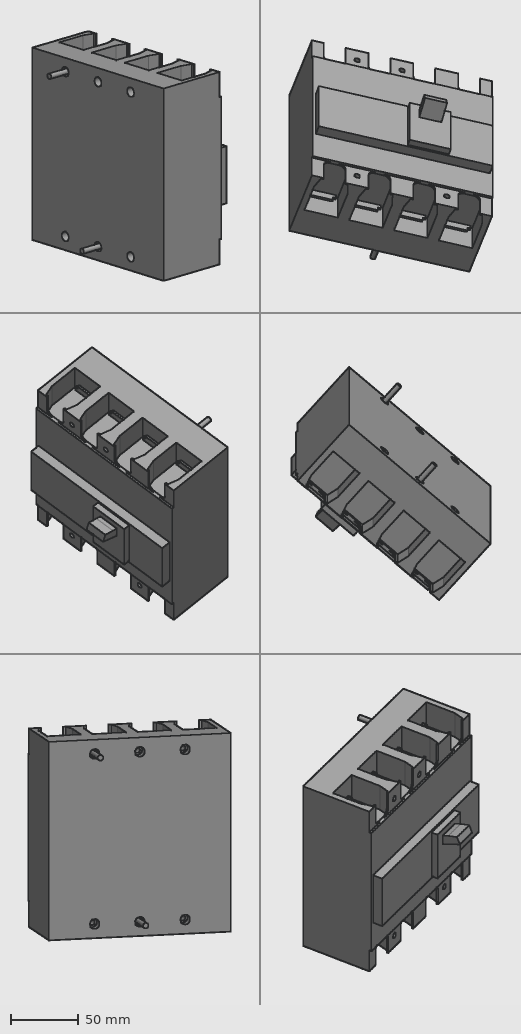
import cadquery as cq

CASE_WIDTH = 140.0
CASE_HEIGHT = 150.0
CASE_DEPTH = 58.0

PLATE_HEIGHT = 111.0
PLATE_THICKNESS = 1.8
COVER_WIDTH = 135.0
COVER_HEIGHT = 44.5
COVER_THICKNESS = 8.0
BEZEL_WIDTH = 32.0
BEZEL_HEIGHT = 41.1
BEZEL_THICKNESS = 5.2
COVER_CENTER_Z = -7.8

TOGGLE_WIDTH = 17.1
TOGGLE_REACH = 14.8
TOGGLE_TOP_CORNER_REACH = 12.5
TOGGLE_BEND_REACH = 4.4
TOGGLE_BEND_Z = 8.7
TOGGLE_ROOT_LOW_Z = -0.9
TOGGLE_ROOT_HIGH_Z = 7.2
TOGGLE_TIP_LOW_Z = 4.8
TOGGLE_TIP_HIGH_Z = 10.8

POLE_COUNT = 4
POLE_PITCH = 34.8
POCKET_DEPTH = 22.4
POCKET_WIDTH = 26.0
POCKET_MOUTH_WIDTH = 20.8
POCKET_BACK_Y = 23.2
POCKET_TAPER_Y = 47.8
POCKET_SKIN = 1.4

SLOT_WIDTH = 17.1
SLOT_CORNER_RADIUS = 5.1
SLOT_DEPTH = (CASE_HEIGHT - PLATE_HEIGHT) / 2

TERMINAL_WIDTH = 22.2
TERMINAL_THICKNESS = 1.8
TERMINAL_HEIGHT = 3.0
TERMINAL_RISER_WIDTH = 17.7
TERMINAL_RISER_HEIGHT = 3.0
TERMINAL_RISER_RADIUS = 0.9

HOLE_DIAMETER = 4.2
COUNTERBORE_DIAMETER = 7.4
COUNTERBORE_DEPTH = 7.5
HOLE_EDGE_DISTANCE = 10.8
HOLE_Z = CASE_HEIGHT / 2 - HOLE_EDGE_DISTANCE
PIN_PROTRUSION = 16.5

POLE_XS = [(i - (POLE_COUNT - 1) / 2) * POLE_PITCH for i in range(POLE_COUNT)]
TOGGLE_X = POLE_XS[1]
HOLE_XS = [-POLE_PITCH, 0, POLE_PITCH]
PIN_POINTS = [(-POLE_PITCH, HOLE_Z), (0, -HOLE_Z)]


def slab(width, thickness, height, x, y, z):
    """Box centred on x and z whose back face lies at y."""
    return cq.Workplane("XY").box(width, thickness, height, centered=(True, False, True)).translate((x, y, z))


def rod(diameter, start_y, end_y, x, z):
    """Cylinder along Y between start_y and end_y."""
    return cq.Workplane("XZ", origin=(x, start_y, z)).circle(diameter / 2).extrude(start_y - end_y)


def toggle(root_y):
    profile = [
        (root_y, TOGGLE_ROOT_LOW_Z),
        (root_y + TOGGLE_REACH, TOGGLE_TIP_LOW_Z),
        (root_y + TOGGLE_TOP_CORNER_REACH, TOGGLE_TIP_HIGH_Z),
        (root_y + TOGGLE_BEND_REACH, TOGGLE_BEND_Z),
        (root_y, TOGGLE_ROOT_HIGH_Z),
    ]
    lever = cq.Workplane("YZ").polyline(profile).close().extrude(TOGGLE_WIDTH / 2, both=True)
    return lever.translate((TOGGLE_X, 0, 0))


def terminal_pocket():
    """Material removed for one pocket at the +Z end, centred on X = 0."""
    front_y = CASE_DEPTH - POCKET_SKIN
    outline = [
        (-POCKET_WIDTH / 2, POCKET_BACK_Y),
        (POCKET_WIDTH / 2, POCKET_BACK_Y),
        (POCKET_WIDTH / 2, POCKET_TAPER_Y),
        (POCKET_MOUTH_WIDTH / 2, front_y),
        (-POCKET_MOUTH_WIDTH / 2, front_y),
        (-POCKET_WIDTH / 2, POCKET_TAPER_Y),
    ]
    floor_z = CASE_HEIGHT / 2 - POCKET_DEPTH
    cavity = cq.Workplane("XY", origin=(0, 0, floor_z)).polyline(outline).close().extrude(POCKET_DEPTH)

    slot_z = CASE_HEIGHT / 2 - SLOT_DEPTH / 2
    slot = slab(SLOT_WIDTH, POCKET_SKIN, SLOT_DEPTH, 0, front_y, slot_z)
    slot = slot.edges("|Y and <Z").fillet(SLOT_CORNER_RADIUS)

    block_z = floor_z + TERMINAL_HEIGHT / 2
    block = slab(TERMINAL_WIDTH, TERMINAL_THICKNESS, TERMINAL_HEIGHT, 0, POCKET_BACK_Y, block_z)
    riser_z = floor_z + TERMINAL_HEIGHT + TERMINAL_RISER_HEIGHT / 2
    riser = slab(TERMINAL_RISER_WIDTH, TERMINAL_THICKNESS, TERMINAL_RISER_HEIGHT, 0, POCKET_BACK_Y, riser_z)
    riser = riser.edges("|Y and >Z").fillet(TERMINAL_RISER_RADIUS)
    return cavity.cut(block).cut(riser).union(slot)


plate_y = CASE_DEPTH
cover_y = plate_y + PLATE_THICKNESS
bezel_y = cover_y + COVER_THICKNESS
toggle_y = bezel_y + BEZEL_THICKNESS

case = slab(CASE_WIDTH, CASE_DEPTH, CASE_HEIGHT, 0, 0, 0)
case = case.union(slab(CASE_WIDTH, PLATE_THICKNESS, PLATE_HEIGHT, 0, plate_y, 0))
case = case.union(slab(COVER_WIDTH, COVER_THICKNESS, COVER_HEIGHT, 0, cover_y, COVER_CENTER_Z))
case = case.union(slab(BEZEL_WIDTH, BEZEL_THICKNESS, BEZEL_HEIGHT, TOGGLE_X, bezel_y, COVER_CENTER_Z))
case = case.union(toggle(toggle_y))

pocket = terminal_pocket()
for end_pocket in (pocket, pocket.mirror("XY")):
    for x in POLE_XS:
        case = case.cut(end_pocket.translate((x, 0, 0)))

for x in HOLE_XS:
    for z in (HOLE_Z, -HOLE_Z):
        case = case.cut(rod(COUNTERBORE_DIAMETER, 0, COUNTERBORE_DEPTH, x, z))
        if (x, z) in PIN_POINTS:
            case = case.union(rod(HOLE_DIAMETER, -PIN_PROTRUSION, COUNTERBORE_DEPTH, x, z))
        else:
            case = case.cut(rod(HOLE_DIAMETER, 0, CASE_DEPTH, x, z))

result = case